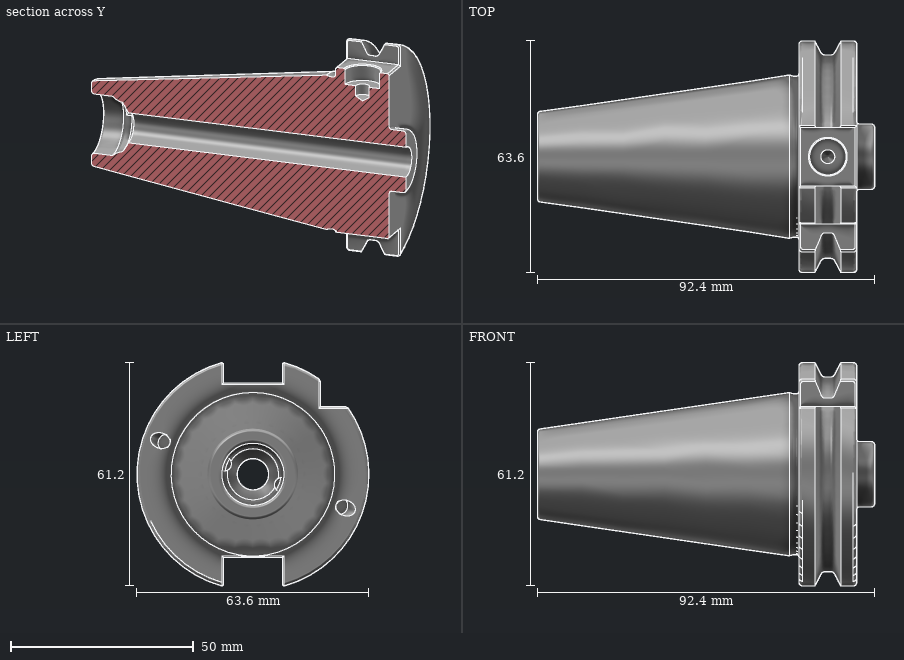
import cadquery as cq
import math

tail_position = -68.4
taper_length = 69.0
large_end_radius = 22.4
taper_ratio = 7 / 24
tail_radius = large_end_radius - taper_length * taper_ratio / 2
tail_fillet = 1.0
taper_end = tail_position + taper_length
neck_radius = 22.1
neck_start = 1.7
neck_fillet = 0.6

flange_radius = 63.55 / 2
flange_start = 3.2
flange_width = 15.9
flange_end = flange_start + flange_width
flange_middle = flange_start + flange_width / 2
rim_fillet = 1.0
groove_depth = 3.9
groove_half_width = 3.58
groove_half_angle = math.radians(28)
groove_root_fillet = 1.2

slot_width = 16.1
upper_slot_floor = 25.0
lower_slot_floor = 22.8
notch_offset = 18.5
edge_chamfer = 0.48

boss_radius = 9.0
boss_length = 4.9
boss_fillet = 1.0
boss_root_fillet = 0.6
boss_end = flange_end + boss_length

entry_radius = 8.5
entry_depth = 6.2
entry_fillet = 1.0
neck_down_radius = 7.65
neck_down_length = 1.2
bore_radius = 7.0
bore_depth = 9.2
drill_half_angle = math.radians(59)
through_radius = 4.26

pocket_radius = 5.0
pocket_depth = 4.6
pocket_chamfer = 0.3
pilot_radius = 1.9
pilot_depth = 3.0

seat_radius = 2.1
seat_depth = 1.8
seat_circle_radius = 27.0
seat_tilt = math.radians(40)

channel_radius = 2.0
channel_circle_radius = 8.4
channel_length = 10.0
coolant_angle = 20


def revolve(outline):
    """Turn an outline in the XZ plane around the X axis."""
    return outline.revolve(360, (0, 0, 0), (1, 0, 0))


def disc(start, end, radius):
    """Cylinder about the X axis between two X positions."""
    half_section = cq.Workplane("XZ").moveTo(start, 0).lineTo(start, radius).lineTo(end, radius).lineTo(end, 0)
    return revolve(half_section.close())


def make_shank():
    outline = (
        cq.Workplane("XZ")
        .moveTo(tail_position, 0)
        .lineTo(tail_position, tail_radius)
        .lineTo(taper_end, large_end_radius)
        .lineTo(neck_start, neck_radius)
        .lineTo(flange_start - neck_fillet, neck_radius)
        .radiusArc((flange_start, neck_radius + neck_fillet), -neck_fillet)
        .lineTo(flange_start, 0)
        .close()
    )
    return revolve(outline).faces("<X").edges().fillet(tail_fillet)


def cutter(y_min, y_max, z_min, z_max):
    """Block that cuts across the full width of the flange."""
    size = (flange_width, y_max - y_min, z_max - z_min)
    return cq.Workplane("XY").box(*size, centered=False).translate((flange_start, y_min, z_min))


def make_flange():
    """Rounded disc with two drive slots and a corner notch, all with chamfered edges."""
    flange = disc(flange_start, flange_end, flange_radius).faces("<X or >X").edges().fillet(rim_fillet)
    half_slot = slot_width / 2
    reach = 2 * flange_radius
    flange = flange.cut(cutter(-half_slot, half_slot, upper_slot_floor, reach))
    flange = flange.cut(cutter(-half_slot, half_slot, -reach, -lower_slot_floor))
    flange = flange.cut(cutter(-reach, -notch_offset, notch_offset, reach))

    outer_edges = [edge for edge in flange.edges("%LINE").vals() if not is_inside_corner(edge)]
    return flange.newObject(outer_edges).chamfer(edge_chamfer)


def is_inside_corner(edge):
    """Tell whether a straight edge runs along X over the full flange width."""
    return math.isclose(edge.BoundingBox().xlen, flange_width, abs_tol=rim_fillet / 10)


def make_groove():
    """Ring with the section of the V groove."""
    root_radius = flange_radius - groove_depth
    root_half_width = groove_half_width - groove_depth * math.tan(groove_half_angle)
    clearance = 1.0
    outer_radius = flange_radius + clearance
    outer_half_width = groove_half_width + clearance * math.tan(groove_half_angle)
    outline = (
        cq.Workplane("XZ")
        .moveTo(flange_middle - outer_half_width, outer_radius)
        .lineTo(flange_middle - root_half_width, root_radius)
        .lineTo(flange_middle + root_half_width, root_radius)
        .lineTo(flange_middle + outer_half_width, outer_radius)
        .close()
    )
    root = cq.selectors.RadiusNthSelector(0)
    return revolve(outline).edges(root).fillet(groove_root_fillet)


def make_boss():
    outline = (
        cq.Workplane("XZ")
        .moveTo(flange_end, 0)
        .lineTo(flange_end, boss_radius + boss_root_fillet)
        .radiusArc((flange_end + boss_root_fillet, boss_radius), -boss_root_fillet)
        .lineTo(boss_end, boss_radius)
        .lineTo(boss_end, 0)
        .close()
    )
    return revolve(outline).faces(">X").edges().fillet(boss_fillet)


def make_bore():
    entry_end = tail_position + entry_depth
    neck_down_end = entry_end + neck_down_length
    bore_end = tail_position + bore_depth
    drill_end = bore_end + (bore_radius - through_radius) / math.tan(drill_half_angle)
    outline = (
        cq.Workplane("XZ")
        .moveTo(tail_position, 0)
        .lineTo(tail_position, entry_radius + entry_fillet)
        .radiusArc((tail_position + entry_fillet, entry_radius), -entry_fillet)
        .lineTo(entry_end, entry_radius)
        .lineTo(neck_down_end, neck_down_radius)
        .lineTo(bore_end, bore_radius)
        .lineTo(drill_end, through_radius)
        .lineTo(boss_end, through_radius)
        .lineTo(boss_end, 0)
        .close()
    )
    return revolve(outline)


def make_pocket():
    floor = upper_slot_floor - pocket_depth
    pilot_floor = floor - pilot_depth
    tip = pilot_floor - pilot_radius / math.tan(drill_half_angle)
    outline = (
        cq.Workplane("XZ")
        .moveTo(0, tip)
        .lineTo(pilot_radius, pilot_floor)
        .lineTo(pilot_radius, floor)
        .lineTo(pocket_radius, floor)
        .lineTo(pocket_radius, upper_slot_floor - pocket_chamfer)
        .lineTo(pocket_radius + pocket_chamfer, upper_slot_floor)
        .lineTo(0, upper_slot_floor)
        .close()
    )
    return outline.revolve(360, (0, 0, 0), (0, 1, 0)).translate((flange_middle, 0, 0))


def make_plug_seat():
    """Flat-bottomed hole that leans inwards from the rear flange face."""
    mouth = cq.Vector(flange_start, seat_circle_radius, 0)
    direction = cq.Vector(math.cos(seat_tilt), -math.sin(seat_tilt), 0)
    overrun = 2 * seat_radius
    start = mouth - direction * overrun
    return cq.Workplane(cq.Solid.makeCylinder(seat_radius, seat_depth + overrun, start, direction))


def make_channel():
    """Hole parallel to the spindle axis, starting inside the bore."""
    start = tail_position + entry_depth + neck_down_length
    return disc(start, start + channel_length, channel_radius).translate((0, channel_circle_radius, 0))


flange = make_flange().cut(make_groove())
result = make_shank().union(flange).union(make_boss())
result = result.cut(make_bore()).cut(make_pocket())
for side in (0, 180):
    for hole in (make_plug_seat(), make_channel()):
        result = result.cut(hole.rotate((0, 0, 0), (1, 0, 0), coolant_angle + side))